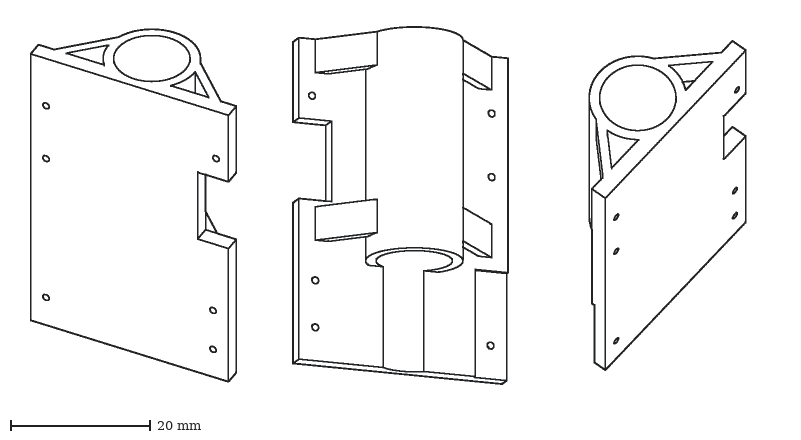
import cadquery as cq

plate_width = 32.0
plate_thickness = 2.5
height = 48.0
half_width = plate_width / 2

notch_depth = 5.0
notch_bottom = 24.0
notch_height = 12.0

relief_width = 5.0
relief_depth = 0.5
relief_height = 16.0

hole_diameter = 1.0
left_hole_x = 2.5
lower_right_hole_x = 29.5
upper_right_hole_x = 30.0
lower_hole_z = 5.0
upper_hole_z = 39.5
hole_places = [
    (left_hole_x, lower_hole_z),
    (left_hole_x, 30.0),
    (left_hole_x, upper_hole_z),
    (lower_right_hole_x, lower_hole_z),
    (lower_right_hole_x, 12.0),
    (upper_right_hole_x, upper_hole_z),
]

tube_diameter = 14.0
bore_diameter = 11.0
tube_bottom = 15.0
tube_y = tube_diameter / 2

brace_height = 5.0
brace_outer_foot = 13.5
brace_inner_foot = 11.5
brace_bottoms = [18.0, height - brace_height]


def make_plate():
    plate = cq.Workplane("XY").box(
        plate_width, plate_thickness, height, centered=(True, False, False)
    )
    notch = (
        cq.Workplane("XY")
        .box(notch_depth, plate_thickness, notch_height, centered=False)
        .translate((half_width - notch_depth, 0, notch_bottom))
    )
    relief = (
        cq.Workplane("XY")
        .box(relief_width, relief_depth, relief_height, centered=False)
        .translate((-half_width, plate_thickness - relief_depth, 0))
    )
    holes = (
        cq.Workplane("XZ")
        .pushPoints([(x - half_width, z) for x, z in hole_places])
        .circle(hole_diameter / 2)
        .extrude(-plate_thickness)
    )
    return plate.cut(notch).cut(relief).cut(holes)


def make_cylinder(diameter, bottom):
    return (
        cq.Workplane("XY", origin=(0, tube_y, bottom))
        .circle(diameter / 2)
        .extrude(height - bottom)
    )


def make_brace(side, bottom):
    """45 degree bar from the plate to the tube; side is -1 (left) or 1 (right)."""
    rise = tube_y
    top_y = plate_thickness + rise
    return (
        cq.Workplane("XY", origin=(0, 0, bottom))
        .moveTo(side * brace_outer_foot, plate_thickness)
        .lineTo(side * (brace_outer_foot - rise), top_y)
        .lineTo(side * (brace_inner_foot - rise), top_y)
        .lineTo(side * brace_inner_foot, plate_thickness)
        .close()
        .extrude(brace_height)
    )


result = make_plate().union(make_cylinder(tube_diameter, tube_bottom))
for brace_bottom in brace_bottoms:
    for side in (-1, 1):
        result = result.union(make_brace(side, brace_bottom))
result = result.cut(make_cylinder(bore_diameter, 0))